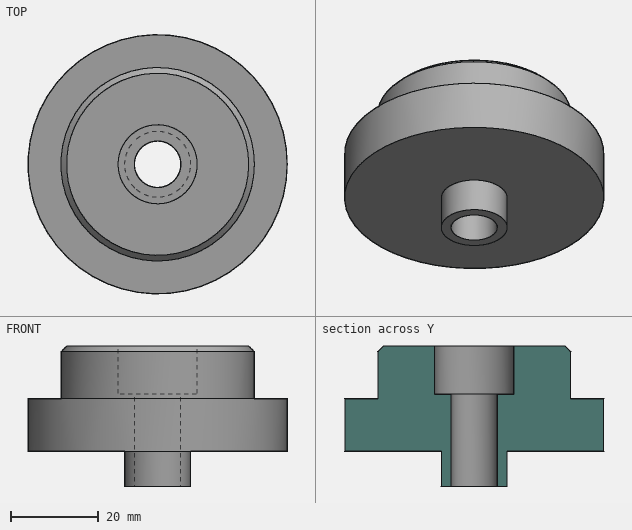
import cadquery as cq

flange_diameter = 59.0
flange_height = 12.0
boss_diameter = 44.0
boss_height = 12.0
boss_chamfer = 1.3
spigot_diameter = 15.0
spigot_height = 8.0

bore_diameter = 10.5
counterbore_diameter = 18.0
counterbore_depth = 11.0

body = (
    cq.Workplane("XY")
    .circle(spigot_diameter / 2)
    .extrude(spigot_height)
    .faces(">Z")
    .workplane()
    .circle(flange_diameter / 2)
    .extrude(flange_height)
    .faces(">Z")
    .workplane()
    .circle(boss_diameter / 2)
    .extrude(boss_height)
)

body = body.faces(">Z").edges().chamfer(boss_chamfer)

result = (
    body.faces(">Z")
    .workplane()
    .cboreHole(bore_diameter, counterbore_diameter, counterbore_depth)
)